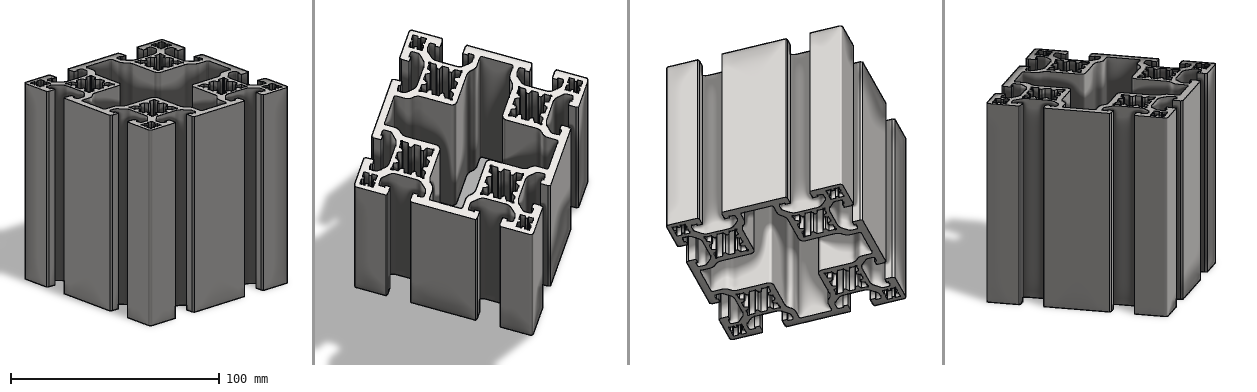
import cadquery as cq
import math

SIDE = 90.0
LENGTH = 100.0
CORNER_RADIUS = 1.5
HALF = SIDE / 2
MODULE = SIDE / 4

SLOT_MOUTH_HALF = 5.7
LIP_DEPTH = 5.0
LIP_HOOK_HALF = 8.3
HOOK_ROOT_DEPTH = 4.1
LIP_TAPER = 0.5
LIP_TAPER_DEPTH = 1.2
SLOT_HALF = 11.3
SLOT_WALL_END = 8.2
SLOT_FLOOR = 12.5
CLEARANCE = 1.0
SLOT_CORNER_RADIUS = 1.0
SLOT_SLOPE_RADIUS = 2.0
SLOT_FLOOR_RADIUS = 4.5

FACE_WALL = 3.8
ARM_HALF = 8.3
NECK_HALF = 11.5
ARM_SLOPE_START = 10.9
ARM_CORNER_RADIUS = 1.0
ARM_SLOPE_RADIUS = 4.5
INNER_CORNER_RADIUS = 2.5

SCREW_HOLLOW = 16.0
RIB_OFFSET = 3.1
RIB_HEIGHT = 2.0
RIB_BASE = 3.2
RIB_TIP = 1.2
RELIEF_RADIUS = 0.4

CORNER_HOLLOW = 6.7
CORNER_HOLLOW_INSET = 5.7
CORNER_RIB_HEIGHT = 1.0
CORNER_RIB_BASE = 1.5
CORNER_RIB_TIP = 1.2


def toward(start, end, distance):
    """Point at a distance from start on the line to end."""
    ratio = distance / math.dist(start, end)
    return (start[0] + (end[0] - start[0]) * ratio, start[1] + (end[1] - start[1]) * ratio)


def rounded_prism(corners):
    """Full-length prism over a closed outline of (x, y, corner radius) points."""
    wire = None
    for index, (x, y, radius) in enumerate(corners):
        corner = (x, y)
        before = corners[index - 1][:2]
        after = corners[(index + 1) % len(corners)][:2]
        if radius == 0:
            wire = wire.lineTo(x, y) if wire else cq.Workplane("XY").moveTo(x, y)
            continue
        toward_before = toward(corner, before, 1)
        toward_after = toward(corner, after, 1)
        half_angle = math.asin(math.dist(toward_before, toward_after) / 2)
        bisector = ((toward_before[0] + toward_after[0]) / 2, (toward_before[1] + toward_after[1]) / 2)
        tangent_length = radius / math.tan(half_angle)
        arc_start = toward(corner, before, tangent_length)
        arc_middle = toward(corner, bisector, radius / math.sin(half_angle) - radius)
        arc_end = toward(corner, after, tangent_length)
        wire = wire.lineTo(*arc_start) if wire else cq.Workplane("XY").moveTo(*arc_start)
        wire = wire.threePointArc(arc_middle, arc_end)
    return wire.close().extrude(LENGTH)


def quarter_turns(points):
    """Repeat an outline stretch four times around the Z axis."""
    outline = []
    for _ in range(4):
        outline += points
        points = [(-y, x, radius) for x, y, radius in points]
    return outline


def mirrored(half):
    """Close a right-hand half outline with its mirror image about the Y axis."""
    return half + [(-x, y, radius) for x, y, radius in reversed(half)]


def slot():
    """T-slot cutter opening through the +Y face, with its mouth edges tapered."""
    slope_run = SLOT_FLOOR - SLOT_WALL_END
    half = [
        (SLOT_MOUTH_HALF + LIP_TAPER, HALF + CLEARANCE, 0),
        (SLOT_MOUTH_HALF + LIP_TAPER, HALF, 0),
        (SLOT_MOUTH_HALF, HALF - LIP_TAPER_DEPTH, 0),
        (SLOT_MOUTH_HALF, HALF - LIP_DEPTH, 0),
        (LIP_HOOK_HALF, HALF - LIP_DEPTH, 0),
        (LIP_HOOK_HALF, HALF - HOOK_ROOT_DEPTH, 0),
        (SLOT_HALF, HALF - HOOK_ROOT_DEPTH, SLOT_CORNER_RADIUS),
        (SLOT_HALF, HALF - SLOT_WALL_END, SLOT_SLOPE_RADIUS),
        (SLOT_HALF - slope_run, HALF - SLOT_FLOOR, SLOT_FLOOR_RADIUS),
    ]
    return rounded_prism(mirrored(half))


def middle_hollow():
    """Four-armed hollow whose arms narrow toward the outer faces."""
    arm_end = HALF - FACE_WALL
    slope_start = HALF - ARM_SLOPE_START
    slope_end = slope_start - (NECK_HALF - ARM_HALF)
    right_side = [
        (NECK_HALF, slope_end, ARM_SLOPE_RADIUS),
        (ARM_HALF, slope_start, ARM_SLOPE_RADIUS),
        (ARM_HALF, arm_end, ARM_CORNER_RADIUS),
    ]
    left_side = [(-x, y, radius) for x, y, radius in reversed(right_side)]
    inner_corner = [(-NECK_HALF, NECK_HALF, INNER_CORNER_RADIUS)]
    return rounded_prism(quarter_turns(right_side + left_side + inner_corner))


def ribbed_hollow(size, rib_centers, height, base, tip):
    """Square hollow with tapered ribs standing inward on each of its four sides."""
    wall = size / 2
    side = [(wall, wall, 0)]
    for center in rib_centers:
        side += [
            (center + base / 2, wall, 0),
            (center + tip / 2, wall - height, 0),
            (center - tip / 2, wall - height, 0),
            (center - base / 2, wall, 0),
        ]
    return rounded_prism(quarter_turns(side))


def screw_hollow():
    """Ribbed hollow with a round relief at each corner."""
    hollow = ribbed_hollow(
        SCREW_HOLLOW, (RIB_OFFSET, -RIB_OFFSET), RIB_HEIGHT, RIB_BASE, RIB_TIP
    )
    reliefs = cq.Workplane("XY").rect(SCREW_HOLLOW, SCREW_HOLLOW, forConstruction=True).vertices()
    return hollow.union(reliefs.circle(RELIEF_RADIUS).extrude(LENGTH))


def corner_hollow():
    """Ribbed hollow with one rib on each side."""
    return ribbed_hollow(
        CORNER_HOLLOW, (0,), CORNER_RIB_HEIGHT, CORNER_RIB_BASE, CORNER_RIB_TIP
    )


profile = cq.Workplane("XY").rect(SIDE, SIDE).extrude(LENGTH).edges("|Z").fillet(CORNER_RADIUS)
profile = profile.cut(middle_hollow())

corner_offset = HALF - CORNER_HOLLOW_INSET
for quarter in range(4):
    quarter_cuts = [
        slot().translate((MODULE, 0, 0)),
        slot().translate((-MODULE, 0, 0)),
        screw_hollow().translate((MODULE, MODULE, 0)),
        corner_hollow().translate((corner_offset, corner_offset, 0)),
    ]
    for cutter in quarter_cuts:
        profile = profile.cut(cutter.rotate((0, 0, 0), (0, 0, 1), 90 * quarter))

result = profile